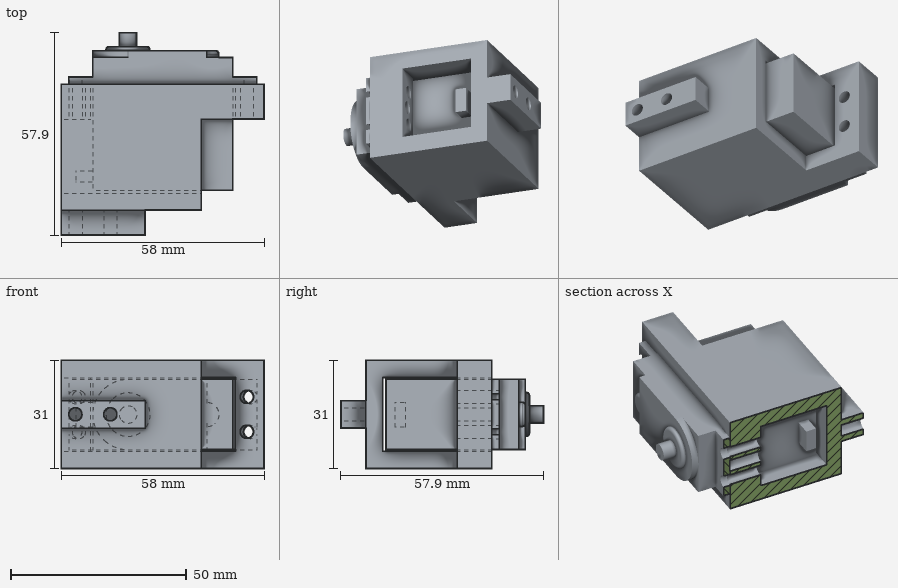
import cadquery as cq


housing_length = 58.0
housing_height = 31.0
housing_depth = 36.0
flange_depth = 10.0
box_length = 40.0
cavity_end_gap = 0.75
cavity_height = 21.0
cavity_depth = 31.15
screw_hole_diameter = 3.75
screw_hole_inset = 5.0
screw_spacing = 10.0

lug_length = 23.95
lug_height = 7.9
lug_depth = 7.15
lug_hole_inset = 4.05
lug_hole_spacing = 10.0

case_length = 40.0
case_height = 20.1
case_depth_below = 30.35
case_shoulder = 7.6
case_top = 9.55
ear_span = 53.8
ear_thickness = 2.1
ear_hole_spacing = 50.1
ear_hole_diameter = 3.8
ear_slot_width = 1.75
gear_cover_end = 41.5
gear_bump_radius = 3.5
gear_bump_round = 1.0
collar_diameter = 12.5
collar_thickness = 1.15
collar_round = 0.9

shaft_diameter = 5.0
shaft_top = 14.75
cable_width = 3.15
cable_height = 7.0
cable_length = 4.8
cable_inset = 2.5

mid_x = housing_length / 2
case_start = mid_x - case_length / 2
case_end = mid_x + case_length / 2
shaft_x = case_start + case_height / 2
screw_levels = (-screw_spacing / 2, screw_spacing / 2)


def block(x_start, x_end, y_start, y_end, height):
    """Box between X and Y limits, centred on mid-height."""
    size_x = x_end - x_start
    size_y = y_end - y_start
    box = cq.Workplane("XY").box(size_x, size_y, height)
    return box.translate((x_start + size_x / 2, y_start + size_y / 2, 0))


def rod(x, z, y_start, y_end, diameter):
    """Cylinder along Y."""
    axis = cq.Vector(0, 1, 0)
    base = cq.Vector(x, y_start, z)
    return cq.Workplane(cq.Solid.makeCylinder(diameter / 2, y_end - y_start, base, axis))


def make_housing():
    lug_front = -housing_depth - lug_depth
    body = block(0, housing_length, -flange_depth, 0, housing_height)
    body = body.union(block(0, box_length, -housing_depth, -flange_depth, housing_height))
    body = body.union(block(0, lug_length, lug_front, -housing_depth, lug_height))

    cavity_start = case_start - cavity_end_gap
    cavity_end = case_end + cavity_end_gap
    body = body.cut(block(cavity_start, cavity_end, -cavity_depth, 0, cavity_height))
    body = body.cut(block(0, box_length, -cavity_depth, -flange_depth, cavity_height))

    for x in (screw_hole_inset, housing_length - screw_hole_inset):
        for z in screw_levels:
            body = body.cut(rod(x, z, -flange_depth, 0, screw_hole_diameter))

    for x in (lug_hole_inset, lug_hole_inset + lug_hole_spacing):
        body = body.cut(rod(x, 0, lug_front, -housing_depth, screw_hole_diameter))

    body = body.cut(rod(lug_hole_inset, 0, -flange_depth, 0, screw_hole_diameter))
    return body


def make_gear_cover():
    """Raised cover: round around the shaft, straight towards a small rounded bump."""
    cover = block(shaft_x, gear_cover_end, case_shoulder, case_top, case_height)
    cover = cover.union(rod(shaft_x, 0, case_shoulder, case_top, case_height))
    bump = rod(gear_cover_end, 0, case_shoulder, case_top, 2 * gear_bump_radius)
    bump = bump.faces(">Y").edges().fillet(gear_bump_round)
    collar = rod(shaft_x, 0, case_top, case_top + collar_thickness, collar_diameter)
    collar = collar.faces(">Y").edges().fillet(collar_round)
    return cover.union(bump).union(collar)


def cut_ear_slots(case):
    """Screw holes in both ears, each opening to the ear end through a narrower slot."""
    for side in (-1, 1):
        hole_x = mid_x + side * ear_hole_spacing / 2
        ear_tip = mid_x + side * ear_span / 2
        for z in screw_levels:
            case = case.cut(rod(hole_x, z, 0, ear_thickness, ear_hole_diameter))
            slot = block(min(hole_x, ear_tip), max(hole_x, ear_tip), 0, ear_thickness, ear_slot_width)
            case = case.cut(slot.translate((0, 0, z)))
    return case


def make_case():
    case = block(case_start, case_end, -case_depth_below, case_shoulder, case_height)
    ears = block(mid_x - ear_span / 2, mid_x + ear_span / 2, 0, ear_thickness, case_height)
    case = cut_ear_slots(case.union(ears))
    return case.union(make_gear_cover())


def make_shaft():
    return rod(shaft_x, 0, case_top + collar_thickness, shaft_top, shaft_diameter)


def make_cable():
    """Cable block standing out of the left side of the case."""
    y_start = -case_depth_below + cable_inset
    return block(case_start - cable_length, case_start, y_start, y_start + cable_width, cable_height)


housing = make_housing()
case = make_case()
shaft = make_shaft()
cable = make_cable()

result = cq.Compound.makeCompound([housing.val(), case.val(), shaft.val(), cable.val()])